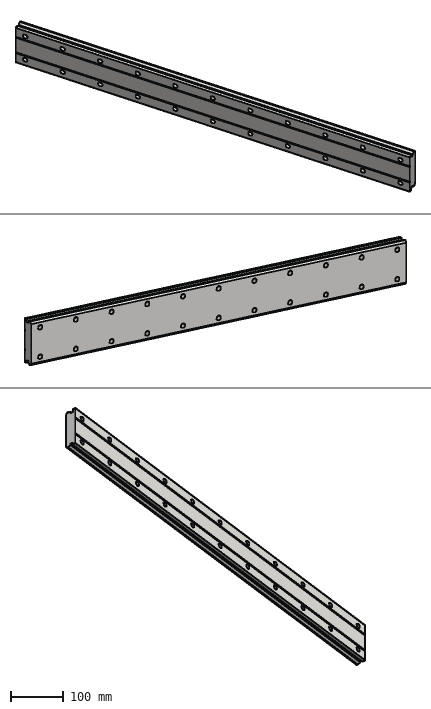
import cadquery as cq

length = 840.0
thickness = 24.0
width = 90.0

flange_thickness = 7.0
channel_depth = 5.5
channel_chamfer = 1.3
bead_crest = 2.5
bead_slope_run = 6.0
bead_slope_drop = 2.5
bead_back_run = 3.0
bead_back_drop = 4.0

hole_diameter = 9.0
hole_count = 11
hole_end_margin = 20.0
hole_row_spacing = 60.5

face_groove_spacing = 40.0
face_groove_width = 2.0
face_groove_depth = 1.0

hole_pitch = (length - 2 * hole_end_margin) / (hole_count - 1)
half_width = width / 2
front_y = -thickness / 2
back_y = thickness / 2


def rail_body():
    """Extrude the cross-section, symmetric about Z = 0, along X."""
    channel_z = half_width - channel_depth
    flange_back_y = front_y + flange_thickness
    crest_back_y = back_y - bead_back_run
    crest_front_y = crest_back_y - bead_crest
    channel_back_y = crest_front_y - bead_slope_run
    upper_edge = [
        (front_y, half_width),
        (flange_back_y, half_width),
        (flange_back_y, channel_z + channel_chamfer),
        (flange_back_y + channel_chamfer, channel_z),
        (channel_back_y, channel_z),
        (channel_back_y, half_width - bead_slope_drop),
        (crest_front_y, half_width),
        (crest_back_y, half_width),
        (back_y, half_width - bead_back_drop),
    ]
    lower_edge = [(y, -z) for y, z in reversed(upper_edge)]
    profile = cq.Workplane("YZ").polyline(upper_edge + lower_edge).close()
    return profile.extrude(length / 2, both=True)


def mounting_holes():
    """Cylinders for both rows of holes, passing through the thickness."""
    return (
        cq.Workplane("XZ")
        .rarray(hole_pitch, hole_row_spacing, hole_count, 2)
        .circle(hole_diameter / 2)
        .extrude(thickness, both=True)
    )


def face_grooves():
    """Bars that cut the two full-length grooves into the front face."""
    return (
        cq.Workplane("XZ")
        .rarray(8, face_groove_spacing, 1, 2)
        .rect(length, face_groove_width)
        .extrude(face_groove_depth, both=True)
        .translate((0, front_y, 0))
    )


result = rail_body().cut(mounting_holes()).cut(face_grooves())